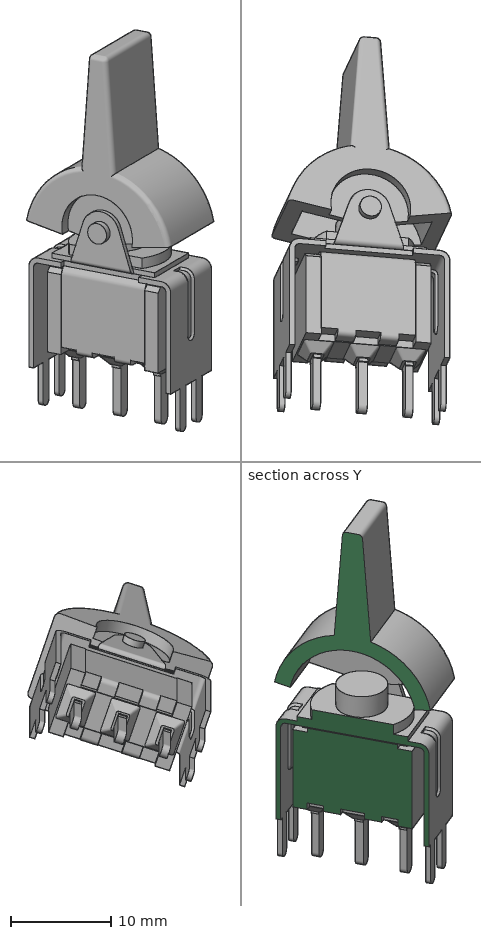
import cadquery as cq
import math


total_height = 39.35
pivot_z = 20.62
lever_width = 9.3
lever_half_span = 8.3
crown_center_drop = 1.57
crown_radius = math.hypot(lever_half_span, crown_center_drop)
underside_angle = 10
lever_fillet = 0.5
fin_top_half = 1.05
fin_base_half = 2.05
fin_base_rise = 5.5
fin_base_z = pivot_z + fin_base_rise
lever_recess_diameter = 8.1
lever_pocket_half_width = 2.7
lever_pocket_radius = 6.75
pin_diameter = 2.15

frame_half_length = 8.15
frame_width = 8.23
frame_top_z = 16.65
frame_thickness = 0.55
frame_bend_radius = 1.05
frame_leg_bottom_z = 4.92
notch_length = 8.9
notch_depth = 0.63
prong_width = 1.22
prong_spacing = 3.23
prong_tip_z = 0.25
prong_tip_radius = 0.6
strip_half_width = 0.65
strip_depth = 0.25
strip_end_z = 10.0
strip_end_x = 6.55

bracket_length = 11.8
bracket_thickness = 0.5
bracket_bend_radius = 0.47
ear_inner_y = 3.42
ear_outer_y = ear_inner_y + bracket_thickness
bracket_top_z = frame_top_z + bracket_thickness
ear_radius = 2.13
ear_base_half = 3.55
ring_width = 5.85
ring_flat_half = 4.17
ring_left_reach = 5.27
ring_right_reach = 5.1
ring_top_z = 18.25
bushing_diameter = 5.2

case_length = 12.7
case_width = 7.0
case_bottom_z = 6.65
case_top_z = 15.6
case_top_chamfer = 0.47
cover_length = 9.6
cover_width = 6.85
cover_bottom_z = 7.4
cover_top_z = frame_top_z - frame_thickness
cover_fillet = 1.05
shoulder_length = 11.1
shoulder_chamfer = 0.4
seal_width = 3.95
tab_inner_x = 1.25
tab_outer_x = 3.1
tab_bottom_z = 6.77
tab_fillet = 0.5

terminal_pitch = 4.7
end_terminal_thickness = 0.8
middle_terminal_thickness = 0.9
terminal_width = 1.35
terminal_tip_radius = 0.63
terminal_step_z = 5.27
terminal_root_width = 1.75
mound_top_length = 3.05
mound_top_width = 3.78
mound_shrink = 1.65
mound_bottom_z = 5.63
mound_edge_radius = 0.28


def block(size_x, size_y, bottom_z, top_z, center_x=0, center_y=0):
    """Upright box given by its footprint and its bottom and top heights."""
    return (
        cq.Workplane("XY", origin=(center_x, center_y, bottom_z))
        .rect(size_x, size_y)
        .extrude(top_z - bottom_z)
    )


def disc_along_y(radius, y_from, y_to, center_z):
    """Cylinder with its axis along Y."""
    return (
        cq.Workplane("XZ", origin=(0, y_from, center_z))
        .circle(radius)
        .extrude(y_from - y_to)
    )


def make_lever():
    crown_center_z = pivot_z - crown_center_drop
    apex_z = pivot_z - lever_half_span * math.tan(math.radians(underside_angle))
    crown = (
        cq.Workplane("XZ", origin=(0, lever_width / 2, 0))
        .moveTo(-lever_half_span, pivot_z)
        .threePointArc((0, crown_center_z + crown_radius), (lever_half_span, pivot_z))
        .lineTo(0, apex_z)
        .close()
        .extrude(lever_width)
        .edges("%CIRCLE")
        .fillet(lever_fillet)
    )
    pocket = disc_along_y(
        lever_pocket_radius, -lever_pocket_half_width, lever_pocket_half_width, crown_center_z
    )
    crown = crown.cut(pocket)

    fin = (
        cq.Workplane("XZ", origin=(0, lever_width / 2, 0))
        .polyline([
            (-fin_base_half, fin_base_z),
            (-fin_top_half, total_height),
            (fin_top_half, total_height),
            (fin_base_half, fin_base_z),
        ])
        .close()
        .extrude(lever_width)
        .edges("not <Z")
        .fillet(lever_fillet)
    )
    lever = crown.union(fin)

    for side in (-1, 1):
        outer_y = side * lever_width / 2
        inner_y = side * ear_inner_y
        recess = disc_along_y(lever_recess_diameter / 2, inner_y, outer_y, pivot_z)
        pin = disc_along_y(pin_diameter / 2, side * lever_pocket_half_width, outer_y, pivot_z)
        lever = lever.cut(recess).union(pin)
    return lever


def pressed_strip(inset):
    """Tapered strip that follows the left frame bend, starting inset below its outer skin."""
    skin_x = -frame_half_length + inset
    skin_z = frame_top_z - inset
    radius = frame_bend_radius - inset
    floor_half_width = strip_half_width - strip_depth
    arc_offset = radius * (1 - math.sqrt(0.5))
    path = (
        cq.Workplane("XZ")
        .moveTo(skin_x, strip_end_z)
        .lineTo(skin_x, skin_z - radius)
        .threePointArc((skin_x + arc_offset, skin_z - arc_offset), (skin_x + radius, skin_z))
        .lineTo(-strip_end_x, skin_z)
    )
    strip = (
        cq.Workplane("XY", origin=(0, 0, strip_end_z))
        .polyline([
            (skin_x, -strip_half_width),
            (skin_x + strip_depth, -floor_half_width),
            (skin_x + strip_depth, floor_half_width),
            (skin_x, strip_half_width),
        ])
        .close()
        .sweep(path)
    )
    round_end = (
        cq.Workplane("YZ", origin=(skin_x, 0, strip_end_z))
        .circle(strip_half_width)
        .workplane(offset=strip_depth)
        .circle(floor_half_width)
        .loft()
    )
    return strip.union(round_end)


def make_frame():
    frame = (
        block(2 * frame_half_length, frame_width, frame_leg_bottom_z, frame_top_z)
        .edges("|Y and >Z")
        .fillet(frame_bend_radius)
    )
    opening = (
        block(
            2 * (frame_half_length - frame_thickness),
            frame_width,
            frame_leg_bottom_z,
            frame_top_z - frame_thickness,
        )
        .edges("|Y and >Z")
        .fillet(frame_bend_radius - frame_thickness)
    )
    frame = frame.cut(opening)

    notch_bottom_z = frame_top_z - frame_thickness
    for side in (-1, 1):
        notch = block(
            notch_length, 2 * notch_depth, notch_bottom_z, frame_top_z, 0, side * frame_width / 2
        )
        frame = frame.cut(notch)

    rib = pressed_strip(frame_thickness)
    groove = pressed_strip(0)
    frame = frame.union(rib).union(rib.mirror("YZ"))
    frame = frame.cut(groove).cut(groove.mirror("YZ"))

    leg_center_x = frame_half_length - frame_thickness / 2
    for side_x in (-1, 1):
        for side_y in (-1, 1):
            prong = block(
                frame_thickness,
                prong_width,
                prong_tip_z,
                frame_leg_bottom_z,
                side_x * leg_center_x,
                side_y * prong_spacing / 2,
            )
            frame = frame.union(prong.edges("|X and <Z").fillet(prong_tip_radius))
    return frame


def ear_outline():
    """Tapered ear, rounded about the pivot, cut out along the whole width of the bracket."""
    rise = pivot_z - frame_top_z
    reach = math.hypot(ear_base_half, rise)
    tangent_angle = math.acos(ear_radius / reach) - math.atan2(rise, ear_base_half)
    tangent_x = ear_radius * math.cos(tangent_angle)
    tangent_z = pivot_z + ear_radius * math.sin(tangent_angle)
    return (
        cq.Workplane("XZ", origin=(0, ear_outer_y, 0))
        .moveTo(-ear_base_half, frame_top_z)
        .lineTo(-tangent_x, tangent_z)
        .threePointArc((0, pivot_z + ear_radius), (tangent_x, tangent_z))
        .lineTo(ear_base_half, frame_top_z)
        .close()
        .extrude(2 * ear_outer_y)
    )


def make_bracket():
    bent_sheet = (
        block(bracket_length, 2 * ear_outer_y, frame_top_z, pivot_z + ear_radius)
        .edges("|X and <Z")
        .fillet(bracket_bend_radius)
    )
    space = block(bracket_length, 2 * ear_inner_y, bracket_top_z, pivot_z + ear_radius)
    plate = block(bracket_length, 2 * ear_inner_y, frame_top_z, bracket_top_z)
    ears = bent_sheet.cut(space).intersect(ear_outline())
    pin_holes = disc_along_y(pin_diameter / 2, -ear_outer_y, ear_outer_y, pivot_z)
    return plate.union(ears).cut(pin_holes)


def make_bushing():
    ring = (
        cq.Workplane("XY", origin=(0, 0, bracket_top_z))
        .moveTo(-ring_flat_half, -ring_width / 2)
        .lineTo(ring_flat_half, -ring_width / 2)
        .threePointArc((ring_right_reach, 0), (ring_flat_half, ring_width / 2))
        .lineTo(-ring_flat_half, ring_width / 2)
        .threePointArc((-ring_left_reach, 0), (-ring_flat_half, -ring_width / 2))
        .close()
        .extrude(ring_top_z - bracket_top_z)
    )
    barrel = (
        cq.Workplane("XY", origin=(0, 0, bracket_top_z))
        .circle(bushing_diameter / 2)
        .extrude(pivot_z - bracket_top_z)
    )
    return ring.union(barrel)


def make_case():
    case = (
        block(case_length, case_width, case_bottom_z, case_top_z)
        .edges("|X and >Z")
        .chamfer(case_top_chamfer)
    )
    middle = block(cover_length, case_width, case_bottom_z, case_top_z)
    seal = block(cover_length, seal_width, case_bottom_z, cover_bottom_z)
    cover = (
        block(cover_length, cover_width, cover_bottom_z, cover_top_z)
        .edges("|X and >Z")
        .fillet(cover_fillet)
    )
    shoulder = (
        block(shoulder_length, seal_width, case_top_z, cover_top_z)
        .edges("|Y and >Z")
        .chamfer(shoulder_chamfer)
    )
    case = case.cut(middle).union(seal).union(cover).union(shoulder)

    for side in (-1, 1):
        tab = block(
            tab_outer_x - tab_inner_x,
            cover_width,
            tab_bottom_z,
            cover_bottom_z,
            side * (tab_inner_x + tab_outer_x) / 2,
        )
        case = case.union(tab.edges("|X and <Z").fillet(tab_fillet))
    return case


def make_terminal(center_x, thickness):
    blade = (
        block(thickness, terminal_width, 0, terminal_step_z, center_x)
        .edges("|X and <Z")
        .fillet(terminal_tip_radius)
    )
    root = block(thickness, terminal_root_width, terminal_step_z, case_bottom_z, center_x)
    mound = (
        cq.Workplane("XY", origin=(center_x, 0, mound_bottom_z))
        .rect(mound_top_length - mound_shrink, mound_top_width - mound_shrink)
        .workplane(offset=case_bottom_z - mound_bottom_z)
        .rect(mound_top_length, mound_top_width)
        .loft()
        .edges("not #Z")
        .fillet(mound_edge_radius)
    )
    return blade.union(root).union(mound)


def make_switch_base():
    base = make_case().union(make_frame()).union(make_bracket()).union(make_bushing())
    base = base.union(make_terminal(0, middle_terminal_thickness))
    for side in (-1, 1):
        base = base.union(make_terminal(side * terminal_pitch, end_terminal_thickness))
    return base


lever = make_lever().solids()
switch_base = make_switch_base().solids()

result = cq.Compound.makeCompound([lever.val(), switch_base.val()])